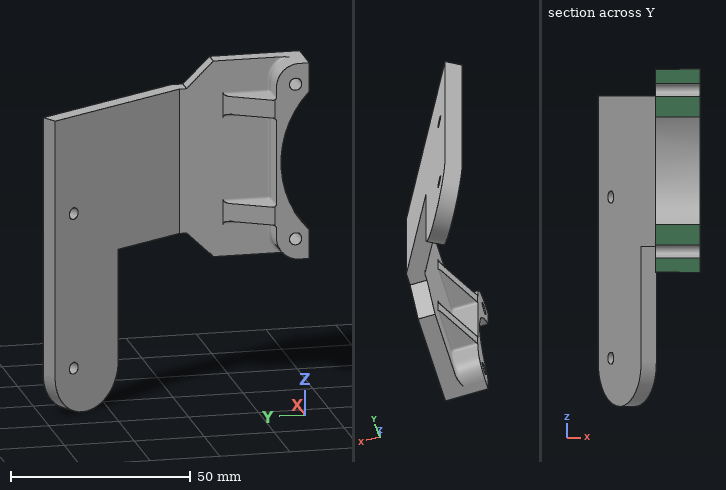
import cadquery as cq
import math

total_height = 94.3
total_depth = 78.8
thickness = 5.0
bend_angle = math.radians(30)
bend_y = 36.9
web_bottom = 44.7
web_top = 86.7
leg_width = 23.9

head_height = 56.9
head_bottom = total_height - head_height
head_middle = head_bottom + head_height / 2
head_chamfer_start = 25.8
head_chamfer_end = 33.5
boss_height = 12.5
boss_wall_y = 9.4
boss_corner_radius = 6.5
saddle_depth = 8.1
saddle_half_width = 20.2

rib_width = 5.2
rib_spacing = 31.1
rib_top_y = 9.9
rib_foot_y = 23.1
fillet_radius = 1.0
fillet_margin = 9.4

head_hole_diameter = 3.5
leg_hole_diameter = 3.3
hole_spacing = 45.0
head_hole_y = 4.0
leg_hole_edge = 7.1
leg_hole_bottom = 13.5

sin_bend = math.sin(bend_angle)
cos_bend = math.cos(bend_angle)
leg_length = (total_depth - bend_y) / cos_bend


def make_head_plate():
    """Flat plate outline, as thick as the boss, ending at the bend."""
    return (
        cq.Workplane("YZ")
        .polyline(
            [
                (0, head_bottom),
                (head_chamfer_start, head_bottom),
                (head_chamfer_end, web_bottom),
                (bend_y, web_bottom),
                (bend_y, web_top),
                (head_chamfer_end, web_top),
                (head_chamfer_start, total_height),
                (0, total_height),
            ]
        )
        .close()
        .extrude(-boss_height)
    )


def make_leg():
    """Bent leg: a web with a round-ended tab hanging from its far end."""
    tab_radius = leg_width / 2
    tab_start = leg_length - leg_width
    leg_plane = cq.Plane(
        origin=(0, bend_y, 0), xDir=(-sin_bend, cos_bend, 0), normal=(cos_bend, sin_bend, 0)
    )
    leg_face = cq.Workplane(leg_plane)
    outline = (
        leg_face.moveTo(0, web_bottom)
        .lineTo(tab_start, web_bottom)
        .lineTo(tab_start, tab_radius)
        .threePointArc((tab_start + tab_radius, 0), (leg_length, tab_radius))
        .lineTo(leg_length, web_top)
        .lineTo(0, web_top)
        .close()
        .extrude(-thickness)
    )
    hole_points = [
        (leg_length - leg_hole_edge, leg_hole_bottom + row * hole_spacing) for row in range(2)
    ]
    holes = leg_face.pushPoints(hole_points).circle(leg_hole_diameter / 2).extrude(-thickness)
    return outline.cut(holes)


def make_filleted_head():
    """Oversized plate with boss and ribs, filleted, then trimmed to the head outline."""
    stock = cq.Workplane("YZ").rect(2 * total_depth, 4 * total_height).extrude(-thickness)
    corner_y = boss_wall_y - boss_corner_radius
    boss = (
        cq.Workplane("YZ", origin=(0, corner_y - fillet_margin, head_middle))
        .rect(2 * (boss_wall_y - corner_y + fillet_margin), head_height)
        .extrude(-boss_height)
        .edges("|X")
        .fillet(boss_corner_radius)
    )
    ribs = (
        cq.Workplane("YZ", origin=(0, 0, head_middle))
        .pushPoints([(rib_foot_y, side * rib_spacing / 2) for side in (-1, 1)])
        .rect(2 * (rib_foot_y - saddle_depth), rib_width)
        .extrude(-boss_height)
    )
    foot_edges = cq.selectors.BoxSelector(
        (-thickness - fillet_radius / 10, -total_depth / 2, -total_height),
        (-thickness + fillet_radius / 10, total_depth / 2, 1.5 * total_height),
    )
    rib_corners = cq.selectors.BoxSelector(
        (-boss_height, boss_wall_y - fillet_radius, head_middle - rib_spacing / 2 - rib_width),
        (0, boss_wall_y + fillet_radius, head_middle + rib_spacing / 2 + rib_width),
    )
    solid = stock.union(boss).union(ribs)
    inner_corners = rib_corners & cq.selectors.ParallelDirSelector(cq.Vector(1, 0, 0))
    solid = solid.edges(foot_edges + inner_corners).fillet(fillet_radius)
    above_ribs = (
        cq.Workplane("XY")
        .polyline(
            [
                (-boss_height, rib_top_y),
                (-thickness, rib_foot_y),
                (-thickness, total_depth),
                (-boss_height, total_depth),
            ]
        )
        .close()
        .extrude(total_height)
    )
    return solid.cut(above_ribs).intersect(make_head_plate())


def make_saddle():
    """Round clamp recess cut into the end face through the full boss height."""
    return (
        cq.Workplane("YZ", origin=(0, 0, head_middle))
        .moveTo(0, -saddle_half_width)
        .threePointArc((saddle_depth, 0), (0, saddle_half_width))
        .close()
        .extrude(-boss_height)
    )


def make_head_holes():
    """Screw holes through the boss, above and below the recess."""
    return (
        cq.Workplane("YZ", origin=(0, head_hole_y, head_middle))
        .pushPoints([(0, side * hole_spacing / 2) for side in (-1, 1)])
        .circle(head_hole_diameter / 2)
        .extrude(-boss_height)
    )


head = make_filleted_head().cut(make_saddle()).cut(make_head_holes())
result = head.union(make_leg()).clean()